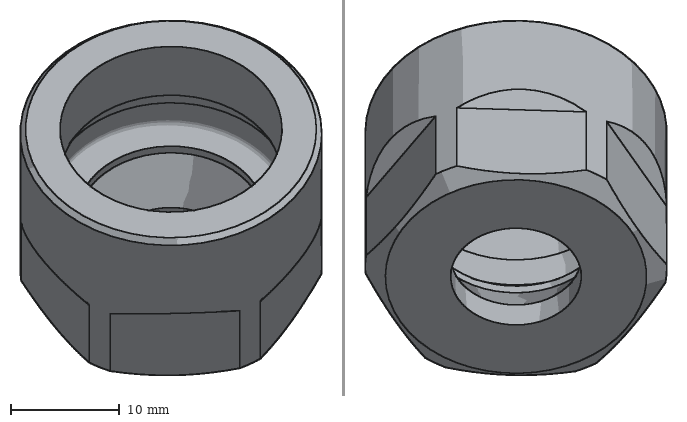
import cadquery as cq
import math

body_diameter = 27.7
body_height = 20.2
top_chamfer = 0.5
bottom_diameter = 23.98
bottom_chamfer_angle = 30.0

hex_across_flats = 25.0
flat_height = 9.0
flat_count = 6

bore_diameter = 20.38
bore_depth = 6.7
groove_diameter = 22.5
groove_start_depth = 8.95
floor_depth = 12.0
floor_fillet = 0.8
seat_diameter = 17.28
seat_depth = 12.9
through_diameter = 12.0
taper_angle = 30.0

body_radius = body_diameter / 2
bore_radius = bore_diameter / 2
groove_radius = groove_diameter / 2
seat_radius = seat_diameter / 2
through_radius = through_diameter / 2


def make_body():
    """Round body, chamfered at both ends."""
    bottom_radius = bottom_diameter / 2
    bottom_chamfer_height = (body_radius - bottom_radius) * math.tan(math.radians(bottom_chamfer_angle))
    profile = (
        cq.Workplane("XZ")
        .moveTo(0, 0)
        .lineTo(bottom_radius, 0)
        .lineTo(body_radius, bottom_chamfer_height)
        .lineTo(body_radius, body_height - top_chamfer)
        .lineTo(body_radius - top_chamfer, body_height)
        .lineTo(0, body_height)
        .close()
    )
    return profile.revolve(360, (0, 0, 0), (0, 1, 0))


def make_flat_cutter(angle):
    """Wrench flat facing the given direction, with a 45 degree run-out at its top."""
    flat_distance = hex_across_flats / 2
    cutter_reach = body_radius + 0.28
    runout_height = cutter_reach - flat_distance
    cutter = (
        cq.Workplane("XZ")
        .moveTo(flat_distance, 0)
        .lineTo(cutter_reach, 0)
        .lineTo(cutter_reach, flat_height + runout_height)
        .lineTo(flat_distance, flat_height)
        .close()
        .extrude(body_radius, both=True)
    )
    return cutter.rotate((0, 0, 0), (0, 0, 1), angle)


def make_bore():
    """Bore, flared groove with a rounded floor corner, seat, taper and through hole."""
    floor_z = body_height - floor_depth
    seat_z = body_height - seat_depth
    taper_height = (seat_radius - through_radius) / math.tan(math.radians(taper_angle))
    corner_offset = floor_fillet * (1 - math.sqrt(0.5))
    profile = (
        cq.Workplane("XZ")
        .moveTo(0, 0)
        .lineTo(through_radius, 0)
        .lineTo(through_radius, seat_z - taper_height)
        .lineTo(seat_radius, seat_z)
        .lineTo(seat_radius, floor_z)
        .lineTo(groove_radius - floor_fillet, floor_z)
        .threePointArc(
            (groove_radius - corner_offset, floor_z + corner_offset),
            (groove_radius, floor_z + floor_fillet),
        )
        .lineTo(groove_radius, body_height - groove_start_depth)
        .lineTo(bore_radius, body_height - bore_depth)
        .lineTo(bore_radius, body_height)
        .lineTo(0, body_height)
        .close()
    )
    return profile.revolve(360, (0, 0, 0), (0, 1, 0))


nut = make_body()
for index in range(flat_count):
    nut = nut.cut(make_flat_cutter(index * 360 / flat_count))

result = nut.cut(make_bore())